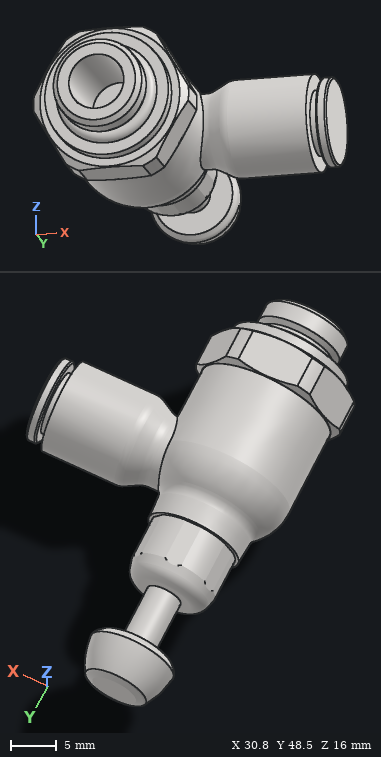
import cadquery as cq
import math


THREAD_END_Y = -20.85
THREAD_R = 5.0
THREAD_CHAMFER = 0.6
THREAD_TOP_Y = -17.7
RELIEF_R = THREAD_R - THREAD_CHAMFER
BORE_R = 3.1

SEAL_BOTTOM_Y = -17.05
SEAL_R = 5.68
FLANGE_BOTTOM_Y = -16.25
FLANGE_R = 7.0
SEAL_ROUND = FLANGE_BOTTOM_Y - SEAL_BOTTOM_Y

HEX_BOTTOM_Y = -14.8
HEX_TOP_Y = -10.15
HEX_ACROSS_FLATS = 16.0
HEX_CORNER_R = 8.8
HEX_CHAMFER_HEIGHT = 0.5
HEX_FACE_R = 7.9

BODY_R = 7.9
BODY_BOTTOM_R = 7.85
SHOULDER_TOP_Y = 4.07
SHOULDER_TOP_R = 6.2
COLLAR_BOTTOM_Y = 5.45
COLLAR_BOTTOM_R = 5.68
COLLAR_RIM_R = 5.55
COLLAR_RIM_Y = 7.6
COLLAR_TOP_Y = 7.9

CAP_R = 5.1
CAP_FLAT_DISTANCE = 5.0
CAP_TAPER_Y = 12.9
CAP_ROUND_Y = 13.95
CAP_ROUND_R = 4.8
CAP_TOP_Y = 15.2
CAP_TOP_R = 3.2

STEM_R = 2.05
STEM_CHAMFER = 0.35
KNOB_BOTTOM_Y = 22.3
KNOB_BOTTOM_R = 4.45
KNOB_R = 5.1
KNOB_WIDEST_Y = 23.25
KNOB_EDGE_Y = 22.65
KNOB_EDGE_R = 4.8
KNOB_EDGE_ROUND = 0.82
KNOB_SIDE_MIDDLE = (4.6, 25.45)
KNOB_SHOULDER_Y = 27.25
KNOB_SHOULDER_R = 3.75
KNOB_TOP_Y = 27.65
KNOB_TOP_R = 2.65
KNOB_RIM_R = 3.5
KNOB_RIM_Y = 27.4

BRANCH_NECK_R = 4.15
BRANCH_NECK_END_X = 7.45
BRANCH_CONE_START = (8.5, 4.4)
BRANCH_CONE_END = (9.95, 5.2)
BRANCH_R = 5.45
BRANCH_START_X = 10.85
BRANCH_END_X = 19.8
RELEASE_NECK_R = 3.65
RELEASE_COLLAR_X = 20.7
RELEASE_COLLAR_R = 4.95
RELEASE_END_X = 21.95
RELEASE_CHAMFER = 0.2


def turned_about_y(profile):
    return profile.close().revolve(360, (0, 0, 0), (0, 1, 0))


def hexagon_prism(across_flats, bottom_y, top_y):
    """Hexagon along Y with two flats facing +Z and -Z."""
    corner_diameter = across_flats / math.cos(math.pi / 6)
    return (
        cq.Workplane("XZ", origin=(0, top_y, 0))
        .polygon(6, corner_diameter)
        .extrude(top_y - bottom_y)
    )


def threaded_end():
    seal_center_r = SEAL_R - SEAL_ROUND
    seal_inner_depth = math.sqrt(SEAL_ROUND**2 - (seal_center_r - RELIEF_R) ** 2)
    return turned_about_y(
        cq.Workplane("XY")
        .moveTo(0, THREAD_END_Y)
        .lineTo(RELIEF_R, THREAD_END_Y)
        .lineTo(THREAD_R, THREAD_END_Y + THREAD_CHAMFER)
        .lineTo(THREAD_R, THREAD_TOP_Y - THREAD_CHAMFER)
        .lineTo(RELIEF_R, THREAD_TOP_Y)
        .lineTo(RELIEF_R, FLANGE_BOTTOM_Y - seal_inner_depth)
        .threePointArc((seal_center_r, SEAL_BOTTOM_Y), (SEAL_R, FLANGE_BOTTOM_Y))
        .lineTo(FLANGE_R, FLANGE_BOTTOM_Y)
        .lineTo(FLANGE_R, HEX_BOTTOM_Y)
        .lineTo(0, HEX_BOTTOM_Y)
    )


def hexagon():
    turned_blank = turned_about_y(
        cq.Workplane("XY")
        .moveTo(0, HEX_BOTTOM_Y)
        .lineTo(HEX_FACE_R, HEX_BOTTOM_Y)
        .lineTo(HEX_CORNER_R, HEX_BOTTOM_Y + HEX_CHAMFER_HEIGHT)
        .lineTo(HEX_CORNER_R, HEX_TOP_Y - HEX_CHAMFER_HEIGHT)
        .lineTo(HEX_FACE_R, HEX_TOP_Y)
        .lineTo(0, HEX_TOP_Y)
    )
    return turned_blank.intersect(hexagon_prism(HEX_ACROSS_FLATS, HEX_BOTTOM_Y, HEX_TOP_Y))


def body():
    shoulder_inset = BODY_R - SHOULDER_TOP_R
    shoulder_round = (shoulder_inset**2 + SHOULDER_TOP_Y**2) / (2 * shoulder_inset)
    return turned_about_y(
        cq.Workplane("XY")
        .moveTo(0, HEX_TOP_Y)
        .lineTo(BODY_BOTTOM_R, HEX_TOP_Y)
        .lineTo(BODY_R, 0)
        .radiusArc((SHOULDER_TOP_R, SHOULDER_TOP_Y), -shoulder_round)
        .tangentArcPoint((COLLAR_BOTTOM_R, COLLAR_BOTTOM_Y), relative=False)
        .lineTo(COLLAR_RIM_R, COLLAR_RIM_Y)
        .lineTo(COLLAR_RIM_R, COLLAR_TOP_Y)
        .lineTo(0, COLLAR_TOP_Y)
    )


def cap():
    turned_cap = turned_about_y(
        cq.Workplane("XY")
        .moveTo(0, COLLAR_TOP_Y)
        .lineTo(CAP_R, COLLAR_TOP_Y)
        .lineTo(CAP_R, CAP_TAPER_Y)
        .lineTo(CAP_ROUND_R, CAP_ROUND_Y)
        .tangentArcPoint((CAP_TOP_R, CAP_TOP_Y), relative=False)
        .lineTo(0, CAP_TOP_Y)
    )
    return turned_cap.intersect(hexagon_prism(2 * CAP_FLAT_DISTANCE, COLLAR_TOP_Y, CAP_TOP_Y))


def stem_and_knob():
    return turned_about_y(
        cq.Workplane("XY")
        .moveTo(0, CAP_TOP_Y)
        .lineTo(STEM_R, CAP_TOP_Y)
        .lineTo(STEM_R, KNOB_BOTTOM_Y - STEM_CHAMFER)
        .lineTo(STEM_R - STEM_CHAMFER, KNOB_BOTTOM_Y)
        .lineTo(KNOB_BOTTOM_R, KNOB_BOTTOM_Y)
        .lineTo(KNOB_EDGE_R, KNOB_EDGE_Y)
        .radiusArc((KNOB_R, KNOB_WIDEST_Y), -KNOB_EDGE_ROUND)
        .threePointArc(KNOB_SIDE_MIDDLE, (KNOB_SHOULDER_R, KNOB_SHOULDER_Y))
        .lineTo(KNOB_RIM_R, KNOB_RIM_Y)
        .lineTo(KNOB_TOP_R, KNOB_TOP_Y)
        .lineTo(0, KNOB_TOP_Y)
    )


def branch():
    profile = (
        cq.Workplane("XY")
        .lineTo(0, BRANCH_NECK_R)
        .lineTo(BRANCH_NECK_END_X, BRANCH_NECK_R)
        .tangentArcPoint(BRANCH_CONE_START, relative=False)
        .lineTo(*BRANCH_CONE_END)
        .tangentArcPoint((BRANCH_START_X, BRANCH_R), relative=False)
        .lineTo(BRANCH_END_X, BRANCH_R)
        .lineTo(BRANCH_END_X, RELEASE_NECK_R)
        .lineTo(RELEASE_COLLAR_X, RELEASE_NECK_R)
        .lineTo(RELEASE_COLLAR_X, RELEASE_COLLAR_R - RELEASE_CHAMFER)
        .lineTo(RELEASE_COLLAR_X + RELEASE_CHAMFER, RELEASE_COLLAR_R)
        .lineTo(RELEASE_END_X - RELEASE_CHAMFER, RELEASE_COLLAR_R)
        .lineTo(RELEASE_END_X, RELEASE_COLLAR_R - RELEASE_CHAMFER)
        .lineTo(RELEASE_END_X, 0)
    )
    return profile.close().revolve(360, (0, 0, 0), (1, 0, 0))


def port_bore():
    """Blind bore from the threaded end up to the top of the hexagon."""
    return (
        cq.Workplane("XZ", origin=(0, HEX_TOP_Y, 0))
        .circle(BORE_R)
        .extrude(HEX_TOP_Y - THREAD_END_Y)
    )


valve = threaded_end()
for section in (hexagon(), body(), cap(), stem_and_knob(), branch()):
    valve = valve.union(section)

result = valve.cut(port_bore())